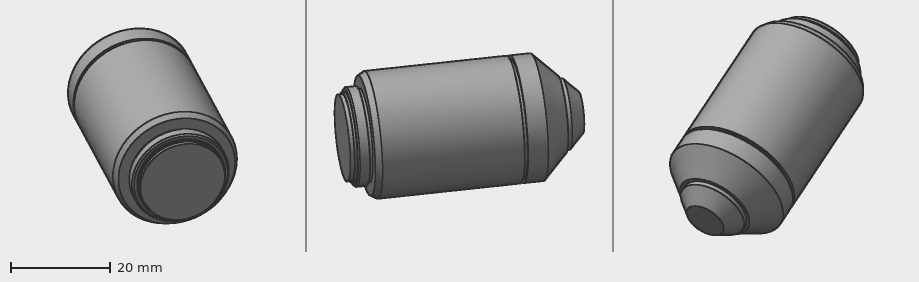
import cadquery as cq
import math


tip_radius = 4.25
collar_radius = 7.3
tip_cone_length = collar_radius - tip_radius
nose_start_x = 4.0

barrel_radius = 13.0
nose_radius = 8.0
barrel_start_x = nose_start_x + barrel_radius - nose_radius
barrel_end_x = 44.38

groove_start_x = 13.15
groove_width = 0.7
groove_depth = 0.75

rear_chamfer_length = 1.35
rear_chamfer_angle = 30.0
rear_chamfer_depth = rear_chamfer_length * math.tan(math.radians(rear_chamfer_angle))

neck_radius = 9.6
flange_radius = 10.16
flange_start_x = 45.08
flange_end_x = 47.48
flange_chamfer = 0.35
step_radius = 9.2
step_end_x = 48.0
spigot_radius = 8.85
overall_length = 48.88


def turned_body():
    """Solid of revolution about X from the (x, radius) outline."""
    outline = [
        (0, 0),
        (0, tip_radius),
        (tip_cone_length, collar_radius),
        (nose_start_x, collar_radius),
        (nose_start_x, nose_radius),
        (barrel_start_x, barrel_radius),
        (barrel_end_x - rear_chamfer_length, barrel_radius),
        (barrel_end_x, barrel_radius - rear_chamfer_depth),
        (barrel_end_x, neck_radius),
        (flange_start_x, neck_radius),
        (flange_start_x, flange_radius),
        (flange_end_x - flange_chamfer, flange_radius),
        (flange_end_x, flange_radius - flange_chamfer),
        (flange_end_x, step_radius),
        (step_end_x, step_radius),
        (step_end_x, spigot_radius),
        (overall_length, spigot_radius),
        (overall_length, 0),
    ]
    return cq.Workplane("XY").polyline(outline).close().revolve(360, (0, 0, 0), (1, 0, 0))


def barrel_groove():
    """Ring of material removed around the barrel."""
    return (
        cq.Workplane("YZ", origin=(groove_start_x, 0, 0))
        .circle(barrel_radius)
        .circle(barrel_radius - groove_depth)
        .extrude(groove_width)
    )


result = turned_body().cut(barrel_groove())